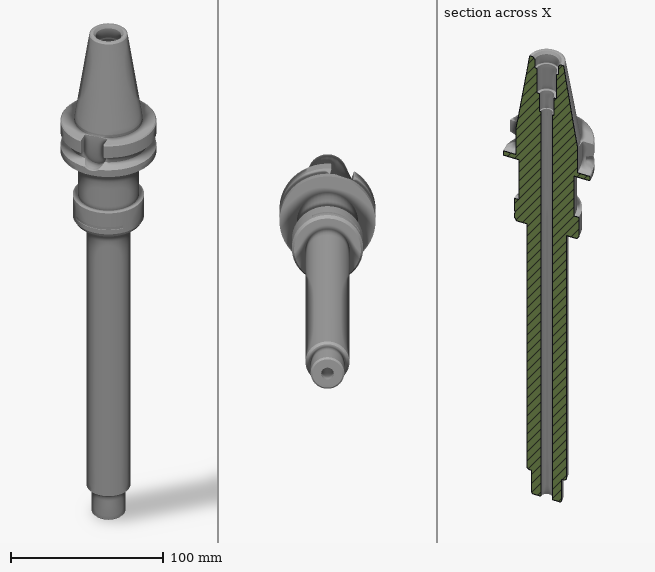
import cadquery as cq
import math

overall_height = 375.0
gauge_z = 309.5
flange_top_z = 307.5
upper_rim_bottom_z = 297.5
groove_top_z = 295.5
groove_bottom_z = 291.0
lower_rim_top_z = 288.0
flange_bottom_z = 282.5
nut_top_z = 249.0
nut_bottom_z = 230.0
shaft_bottom_z = 20.0

taper_top_diameter = 25.0
taper_gauge_diameter = 44.5
base_flare_diameter = 45.0
flange_diameter = 63.0
groove_diameter = 53.0
neck_diameter = 40.0
nut_diameter = 47.0
shaft_diameter = 29.0
tip_diameter = 22.0

taper_top_chamfer = 0.7
base_flare_height = 1.0
rim_chamfer = 0.7
slot_chamfer = 0.55
nut_chamfer_width = 1.5
nut_chamfer_height = 2.5
shaft_chamfer = 1.5
tip_chamfer = 1.0

coolant_bore_diameter = 8.2
mouth_diameter = 20.0
mouth_depth = 2.0
pilot_bore_diameter = 17.0
pilot_bore_depth = 9.0
thread_bore_diameter = 14.0
thread_bore_depth = 30.0
relief_bore_diameter = 10.0
relief_bore_depth = 45.0

slot_width = 15.7
slot_floor_distance = 22.5
slot_bottom_z = 286.8

band_bottom_z = 235.8
band_height = 2.2
band_depth = 0.5
band_angle = 90.0


def revolve_outline(points, angle=360):
    """Turn a closed outline of (radius, z) points about the Z axis."""
    return cq.Workplane("XZ").polyline(points).close().revolve(angle, (0, 0), (0, 1))


def turned_body():
    """Solid of revolution, its outline listed from the top down."""
    outline = [
        (0, overall_height),
        (taper_top_diameter / 2 - taper_top_chamfer, overall_height),
        (taper_top_diameter / 2, overall_height - taper_top_chamfer),
        (taper_gauge_diameter / 2, gauge_z),
        (taper_gauge_diameter / 2, flange_top_z + base_flare_height),
        (base_flare_diameter / 2, flange_top_z),
        (flange_diameter / 2 - rim_chamfer, flange_top_z),
        (flange_diameter / 2, flange_top_z - rim_chamfer),
        (flange_diameter / 2, upper_rim_bottom_z),
        (groove_diameter / 2, groove_top_z),
        (groove_diameter / 2, groove_bottom_z),
        (flange_diameter / 2, lower_rim_top_z),
        (flange_diameter / 2, flange_bottom_z),
        (neck_diameter / 2, flange_bottom_z),
        (neck_diameter / 2, nut_top_z),
        (nut_diameter / 2, nut_top_z),
        (nut_diameter / 2, nut_bottom_z + nut_chamfer_height),
        (nut_diameter / 2 - nut_chamfer_width, nut_bottom_z),
        (shaft_diameter / 2, nut_bottom_z),
        (shaft_diameter / 2, shaft_bottom_z + shaft_chamfer),
        (shaft_diameter / 2 - shaft_chamfer, shaft_bottom_z),
        (tip_diameter / 2, shaft_bottom_z),
        (tip_diameter / 2, tip_chamfer),
        (tip_diameter / 2 - tip_chamfer, 0),
        (0, 0),
    ]
    return revolve_outline(outline)


def stepped_bore():
    """Through bore, stepped and widened towards the top for the pull stud."""
    outline = [
        (0, overall_height),
        (mouth_diameter / 2, overall_height),
        (pilot_bore_diameter / 2, overall_height - mouth_depth),
        (pilot_bore_diameter / 2, overall_height - pilot_bore_depth),
        (thread_bore_diameter / 2, overall_height - pilot_bore_depth),
        (thread_bore_diameter / 2, overall_height - thread_bore_depth),
        (relief_bore_diameter / 2, overall_height - thread_bore_depth),
        (relief_bore_diameter / 2, overall_height - relief_bore_depth),
        (coolant_bore_diameter / 2, overall_height - relief_bore_depth),
        (coolant_bore_diameter / 2, 0),
        (0, 0),
    ]
    return revolve_outline(outline)


def drive_slot(side):
    """Slot with a round lower end, open at the top; side is -1 for -Y or 1 for +Y."""
    half_width = slot_width / 2
    arc_centre_z = slot_bottom_z + half_width
    slot_depth = flange_diameter / 2 - slot_floor_distance
    return (
        cq.Workplane("XZ", origin=(0, side * slot_floor_distance, 0))
        .moveTo(-half_width, gauge_z)
        .lineTo(-half_width, arc_centre_z)
        .threePointArc((0, slot_bottom_z), (half_width, arc_centre_z))
        .lineTo(half_width, gauge_z)
        .close()
        .extrude(-side * slot_depth)
    )


def slot_rim_edges(body, side):
    """Edges where a drive slot breaks through the outside of the two flange rims."""
    half_width = slot_width / 2
    rim_edge_y = side * math.sqrt((flange_diameter / 2) ** 2 - half_width**2)
    margin = 0.5
    upper_rim = cq.selectors.BoxSelector(
        (-half_width - margin, rim_edge_y - margin, upper_rim_bottom_z),
        (half_width + margin, rim_edge_y + margin, flange_top_z - rim_chamfer),
    )
    lower_rim = cq.selectors.BoxSelector(
        (-half_width - margin, rim_edge_y - margin, slot_bottom_z - margin),
        (half_width + margin, side * (flange_diameter / 2 + margin), lower_rim_top_z),
    )
    return body.edges(upper_rim).add(body.edges(lower_rim))


def nut_band():
    """Shallow groove part of the way around the nut, centred on the -Y side."""
    outer_radius = nut_diameter / 2
    floor_radius = outer_radius - band_depth
    band_top_z = band_bottom_z + band_height
    outline = [
        (floor_radius, band_bottom_z),
        (outer_radius, band_bottom_z),
        (outer_radius, band_top_z),
        (floor_radius, band_top_z),
    ]
    band = revolve_outline(outline, band_angle)
    centre_angle = math.degrees(math.atan2(band.val().Center().y, band.val().Center().x))
    return band.rotate((0, 0, 0), (0, 0, 1), -90 - centre_angle)


result = turned_body().cut(stepped_bore()).cut(nut_band())
for side in (-1, 1):
    result = result.cut(drive_slot(side))
for side in (-1, 1):
    result = slot_rim_edges(result, side).chamfer(slot_chamfer)